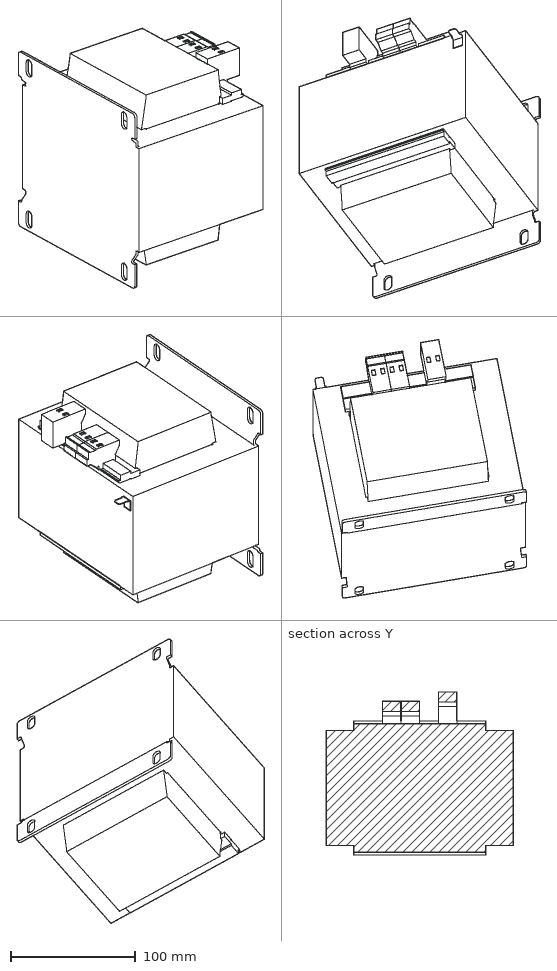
import cadquery as cq
import math


plate_width = 150.0
plate_height = 155.4
plate_thickness = 2.25
flange_offset = 4.25
flange_bend_z = 53.8
bend_angle = 45.0
bend_inner_radius = 0.5
bend_outer_radius = bend_inner_radius + plate_thickness
plate_corner_radius = 3.0
notch_depth = 4.0
notch_bottom_z = 46.2
notch_top_z = 55.8
notch_radius = 1.0
slot_width = 7.0
slot_length = 14.8
slot_spacing_x = 122.5
slot_spacing_z = 134.6

core_width = plate_width
core_depth = 125.0
core_height = 92.4
core_leg = core_width / 6
core_back_y = flange_offset + plate_thickness
core_front_y = core_back_y + core_depth
core_top_z = core_height / 2
window_width = 100.4

coil_width = 98.0
coil_half_height = 75.7
coil_rim = 2.4
coil_top_back_y = 32.2
coil_top_front_y = 106.3
coil_base_back_y = 27.5
coil_base_front_y = 109.8

carrier_width = 106.0
carrier_back_y = 107.4
carrier_step_y = 116.6
carrier_front_y = 126.8
carrier_lip_y = 128.7
carrier_step_z = 51.6
carrier_top_z = 53.7
carrier_lip_top_z = 49.0
carrier_lip_edge = 0.6
carrier_lip_root_y = 128.0
carrier_gap = 0.5

terminal_width = 14.9
terminal_pitch = 15.0
tall_terminal_shift = 0.2
low_terminal_positions = (-1.5 * terminal_pitch, -0.5 * terminal_pitch)
tall_terminal_position = 1.5 * terminal_pitch - tall_terminal_shift
terminal_front_y = 143.25
terminal_back_y = 110.4
terminal_foot_back_y = 114.4
terminal_foot_front_y = 131.0
terminal_foot_z = 49.0
terminal_belly_z = 52.4
terminal_shoulder_height = 4.9
terminal_taper_height = 6.9
low_terminal_top_z = 69.5
tall_terminal_top_z = 76.9
ridge_front_y = 141.7
ridge_back_y = 140.4
ridge_foot_z = 63.0
groove_ramp_low_y = 134.8
groove_ramp_high_y = 133.5
groove_depth = 0.7
chin_front_z = 57.1
chin_front_y = 139.7
chin_back_y = 134.0

entry_spacing = 7.5
entry_width = 2.9
entry_depth = 1.0
entry_back_y = 125.2
entry_length = 4.5

tab_center_x = -68.1
tab_base_width = 8.5
tab_blade_width = 7.0
tab_thickness = 0.6
tab_bend_radius = 1.2
tab_top_z = 41.4
tab_bottom_z = 31.5
tab_shoulder_y = 134.5
tab_end_y = 142.8
tab_end_chamfer = 1.2


def extrude_side_profile(points, width, center_x=0.0):
    """Extrude a (y, z) outline along X, centred on center_x."""
    profile = cq.Workplane("YZ", origin=(center_x, 0, 0)).polyline(points).close()
    return profile.extrude(width / 2, both=True)


def box_between(x_range, y_range, z_range):
    """Box spanning the given (low, high) ranges."""
    size = [high - low for low, high in (x_range, y_range, z_range)]
    return cq.Workplane("XY").box(*size, centered=False).translate((x_range[0], y_range[0], z_range[0]))


def bend_edges(plate, y, z):
    """Select the edges along X at (y, +z) and (y, -z)."""
    reach = 0.1
    picked = plate.edges("|X")
    low = (-plate_width, y - reach, z - reach)
    high = (plate_width, y + reach, z + reach)
    mirrored_low = (-plate_width, y - reach, -z - reach)
    mirrored_high = (plate_width, y + reach, -z + reach)
    upper = cq.selectors.BoxSelector(low, high)
    lower = cq.selectors.BoxSelector(mirrored_low, mirrored_high)
    return picked.edges(upper + lower)


def make_plate():
    top_z = plate_height / 2
    web_bend_z = flange_bend_z - flange_offset / math.tan(math.radians(bend_angle))
    inner_shift = plate_thickness * math.tan(math.radians(bend_angle / 2))
    outer = [(0, top_z), (0, flange_bend_z), (flange_offset, web_bend_z)]
    inner = [
        (core_back_y, web_bend_z + inner_shift),
        (plate_thickness, flange_bend_z + inner_shift),
        (plate_thickness, top_z),
    ]
    outer_mirrored = [(y, -z) for y, z in reversed(outer)]
    inner_mirrored = [(y, -z) for y, z in reversed(inner)]
    plate = extrude_side_profile(outer + outer_mirrored + inner_mirrored + inner, plate_width)
    plate = plate.edges("|Y").fillet(plate_corner_radius)

    plate = bend_edges(plate, *outer[1]).fillet(bend_outer_radius)
    plate = bend_edges(plate, *inner[0]).fillet(bend_outer_radius)
    plate = bend_edges(plate, *outer[2]).fillet(bend_inner_radius)
    plate = bend_edges(plate, *inner[1]).fillet(bend_inner_radius)

    slots = (
        cq.Workplane("XZ")
        .rarray(slot_spacing_x, slot_spacing_z, 2, 2)
        .slot2D(slot_length, slot_width, 90)
        .extrude(-core_back_y)
    )
    notches = (
        cq.Workplane("XZ")
        .rarray(plate_width, notch_bottom_z + notch_top_z, 2, 2)
        .rect(2 * notch_depth, notch_top_z - notch_bottom_z)
        .extrude(-core_back_y)
        .edges("|Y")
        .fillet(notch_radius)
    )
    return plate.cut(slots).cut(notches)


def make_core():
    core_x = (-core_width / 2, core_width / 2)
    window_x = (-window_width / 2, window_width / 2)
    core_z = (-core_top_z, core_top_z)
    core = box_between(core_x, (core_back_y, core_front_y), core_z)
    window = box_between(window_x, (core_back_y + core_leg, core_front_y - core_leg), core_z)
    return core.cut(window)


def make_coil():
    rim_z = coil_half_height - coil_rim
    upper = [
        (coil_base_back_y, core_top_z),
        (coil_top_back_y, rim_z),
        (coil_top_back_y, coil_half_height),
        (coil_top_front_y, coil_half_height),
        (coil_top_front_y, rim_z),
        (coil_base_front_y, core_top_z),
    ]
    lower = [(y, -z) for y, z in reversed(upper)]
    return extrude_side_profile(upper + lower, coil_width)


def make_carrier():
    return extrude_side_profile(
        [
            (carrier_back_y, core_top_z),
            (carrier_back_y, carrier_step_z),
            (carrier_step_y, carrier_step_z),
            (carrier_step_y, carrier_top_z),
            (carrier_front_y, carrier_top_z),
            (carrier_front_y, carrier_lip_top_z),
            (carrier_lip_y, carrier_lip_top_z),
            (carrier_lip_y, carrier_lip_top_z - carrier_lip_edge),
            (carrier_lip_root_y, core_top_z + carrier_gap),
            (carrier_step_y, core_top_z + carrier_gap),
            (carrier_step_y, core_top_z),
        ],
        carrier_width,
    )


def cut_entries(terminal, center_x, top_z):
    """Cut the two wire entries into the top of a terminal."""
    for side in (-1, 1):
        x = center_x + side * entry_spacing / 2
        x_range = (x - entry_width / 2, x + entry_width / 2)
        y_range = (entry_back_y, entry_back_y + entry_length)
        terminal = terminal.cut(box_between(x_range, y_range, (top_z - entry_depth, top_z)))
    return terminal


def terminal_back_and_foot(top_z):
    """Outline from the top back edge down and around the foot to its front."""
    shoulder_z = top_z - terminal_shoulder_height
    return [
        (terminal_back_y, top_z),
        (terminal_back_y, shoulder_z),
        (terminal_foot_back_y, shoulder_z - terminal_taper_height),
        (terminal_foot_back_y, terminal_foot_z),
        (terminal_foot_front_y, terminal_foot_z),
        (terminal_foot_front_y, terminal_belly_z),
    ]


def make_low_terminal(center_x):
    top_z = low_terminal_top_z
    front = [
        (chin_back_y, terminal_belly_z),
        (chin_front_y, chin_front_z),
        (terminal_front_y, chin_front_z),
        (terminal_front_y, ridge_foot_z),
        (ridge_front_y, ridge_foot_z),
    ]
    top = [
        (ridge_front_y, top_z),
        (ridge_back_y, top_z),
        (ridge_back_y, top_z - groove_depth),
        (groove_ramp_low_y, top_z - groove_depth),
        (groove_ramp_high_y, top_z),
    ]
    outline = terminal_back_and_foot(top_z) + front + top
    terminal = extrude_side_profile(outline, terminal_width, center_x)
    return cut_entries(terminal, center_x, top_z)


def make_tall_terminal(center_x):
    top_z = tall_terminal_top_z
    front = [(terminal_front_y, terminal_belly_z), (terminal_front_y, top_z)]
    terminal = extrude_side_profile(terminal_back_and_foot(top_z) + front, terminal_width, center_x)
    return cut_entries(terminal, center_x, top_z)


def make_earth_tab():
    blade_x = (tab_center_x - tab_blade_width / 2, tab_center_x + tab_blade_width / 2)
    blade_bottom_z = tab_top_z - tab_thickness
    leg_front_y = core_front_y + tab_thickness
    angle = extrude_side_profile(
        [
            (core_front_y, tab_bottom_z),
            (core_front_y, tab_top_z),
            (tab_shoulder_y, tab_top_z),
            (tab_shoulder_y, blade_bottom_z),
            (leg_front_y, blade_bottom_z),
            (leg_front_y, tab_bottom_z),
        ],
        tab_base_width,
        tab_center_x,
    )
    angle = angle.edges("|X and <Y and >Z").fillet(tab_bend_radius)
    angle = angle.edges(cq.selectors.NearestToPointSelector((tab_center_x, leg_front_y, blade_bottom_z)))
    angle = angle.fillet(tab_bend_radius - tab_thickness)
    blade = box_between(blade_x, (tab_shoulder_y, tab_end_y), (blade_bottom_z, tab_top_z))
    blade = blade.edges("|Z and >Y").chamfer(tab_end_chamfer)
    return angle.union(blade)


carrier = make_carrier()
result = make_core().union(make_coil()).union(make_plate())
result = result.union(carrier).union(carrier.mirror("XY"))
for position in low_terminal_positions:
    result = result.union(make_low_terminal(position))
result = result.union(make_tall_terminal(tall_terminal_position))
result = result.union(make_earth_tab())